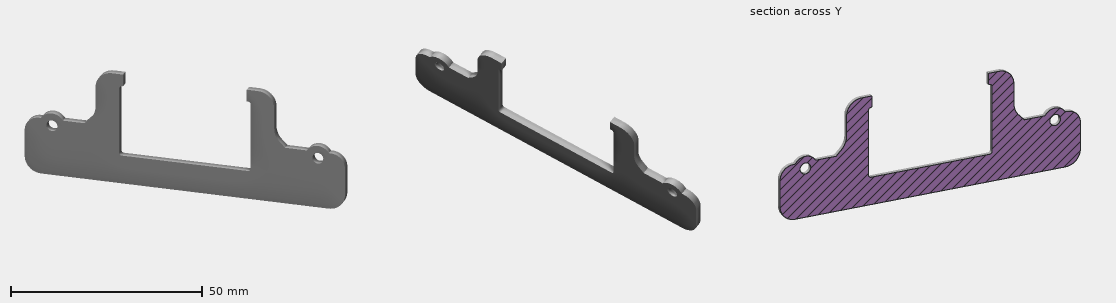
import cadquery as cq
import math

length = 87.8
thickness = 2.0
height = 31.0
half_length = length / 2

shoulder_height = 15.8
bottom_corner_radius = 4.5
shoulder_corner_radius = 3.95

hole_diameter = 3.0
hole_x = 36.45
hole_height = 14.0
ear_radius = 3.5

arm_outer_x = 24.5
arm_corner_radius = 4.5
arm_root_radius = 5.0
arm_root_foot_x = 27.5

window_half_width = 18.0
window_floor = 7.9
lip_half_gap = 16.95
lip_bottom = 27.7
window_corner_radius = 0.7

root_angle = math.radians(45)
half_root_angle = root_angle / 2
arc_end_x = arm_outer_x + arm_root_radius * (1 - math.cos(root_angle))
arc_end_height = shoulder_height + (arm_root_foot_x - arc_end_x) / math.tan(root_angle)
arc_start_height = arc_end_height + arm_root_radius * math.sin(root_angle)
arc_mid_x = arm_outer_x + arm_root_radius * (1 - math.cos(half_root_angle))
arc_mid_height = arc_start_height - arm_root_radius * math.sin(half_root_angle)


def round_corner(body, x, z, radius):
    """Round the through-thickness edge that passes through (x, z)."""
    corner = cq.selectors.NearestToPointSelector((x, 0, z))
    return body.edges("|Y").edges(corner).fillet(radius)


def make_half():
    """Build the half of the plate on the +X side."""
    half = (
        cq.Workplane("XZ", origin=(0, thickness / 2, 0))
        .moveTo(0, 0)
        .lineTo(half_length, 0)
        .lineTo(half_length, shoulder_height)
        .lineTo(arm_root_foot_x, shoulder_height)
        .lineTo(arc_end_x, arc_end_height)
        .threePointArc((arc_mid_x, arc_mid_height), (arm_outer_x, arc_start_height))
        .lineTo(arm_outer_x, height)
        .lineTo(lip_half_gap, height)
        .lineTo(lip_half_gap, lip_bottom)
        .lineTo(window_half_width, lip_bottom)
        .lineTo(window_half_width, window_floor)
        .lineTo(0, window_floor)
        .close()
        .extrude(thickness)
    )
    for x, z, radius in (
        (half_length, 0, bottom_corner_radius),
        (half_length, shoulder_height, shoulder_corner_radius),
        (arm_outer_x, height, arm_corner_radius),
        (window_half_width, lip_bottom, window_corner_radius),
        (window_half_width, window_floor, window_corner_radius),
    ):
        half = round_corner(half, x, z, radius)

    ear_plane = cq.Workplane("XZ", origin=(0, thickness / 2, 0)).center(hole_x, hole_height)
    ear = ear_plane.circle(ear_radius).extrude(thickness)
    hole = ear_plane.circle(hole_diameter / 2).extrude(thickness)
    return half.union(ear).cut(hole)


right_half = make_half()
result = right_half.union(right_half.mirror("YZ")).clean()